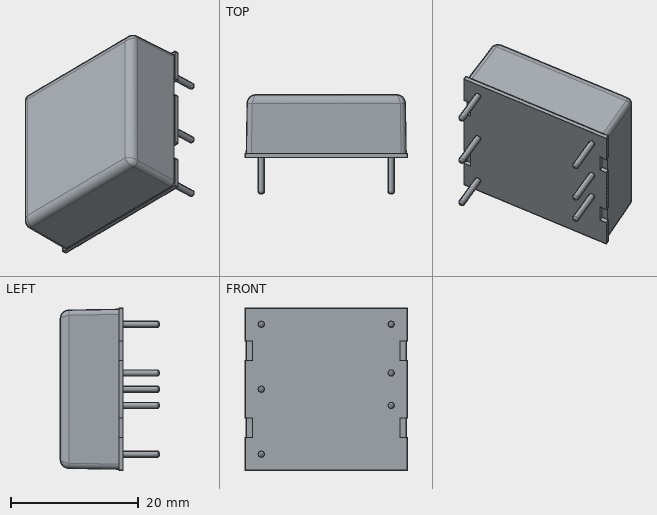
import cadquery as cq

plate_side = 25.4
plate_thickness = 0.65
notch_depth = 1.15
notch_length = 3.1
notch_offset = 6.02

cover_inset = 0.18
cover_height = 9.2
cover_draft = 1.0
cover_corner_radius = 0.81
cover_edge_radius = 1.37

pin_length = 5.65
pin_diameter = 0.97
pin_tip_radius = 0.3
pin_pitch = 2.55
pin_column = 4 * pin_pitch
left_pin_heights = [-4 * pin_pitch, 0, 4 * pin_pitch]
right_pin_heights = [-pin_pitch, pin_pitch, 4 * pin_pitch]


def make_plate():
    """Square plate from y = 0 to its thickness, with two notches in each upright side."""
    plate = cq.Workplane("XY").box(plate_side, plate_thickness, plate_side)
    notch_centres = [
        (side * (plate_side - notch_depth) / 2, 0, level * notch_offset)
        for side in (-1, 1)
        for level in (-1, 1)
    ]
    for centre in notch_centres:
        notch = cq.Workplane("XY").box(notch_depth, plate_thickness, notch_length)
        plate = plate.cut(notch.translate(centre))
    return plate.translate((0, plate_thickness / 2, 0))


def make_cover():
    """Drafted block growing toward +Y, with rounded corners and a rounded rear rim."""
    cover_side = plate_side - 2 * cover_inset
    cover = (
        cq.Workplane("XZ", origin=(0, plate_thickness, 0))
        .rect(cover_side, cover_side)
        .extrude(-cover_height, taper=cover_draft)
    )
    cover = cover.edges("not(#Y)").fillet(cover_corner_radius)
    return cover.faces(">Y").edges().fillet(cover_edge_radius)


def make_pin(x, z):
    """Round pin along -Y with a rounded tip edge."""
    pin = cq.Workplane("XZ").circle(pin_diameter / 2).extrude(pin_length)
    pin = pin.faces("<Y").edges().fillet(pin_tip_radius)
    return pin.translate((x, 0, z))


result = make_plate().union(make_cover())
for column, heights in ((-pin_column, left_pin_heights), (pin_column, right_pin_heights)):
    for height in heights:
        result = result.union(make_pin(column, height))